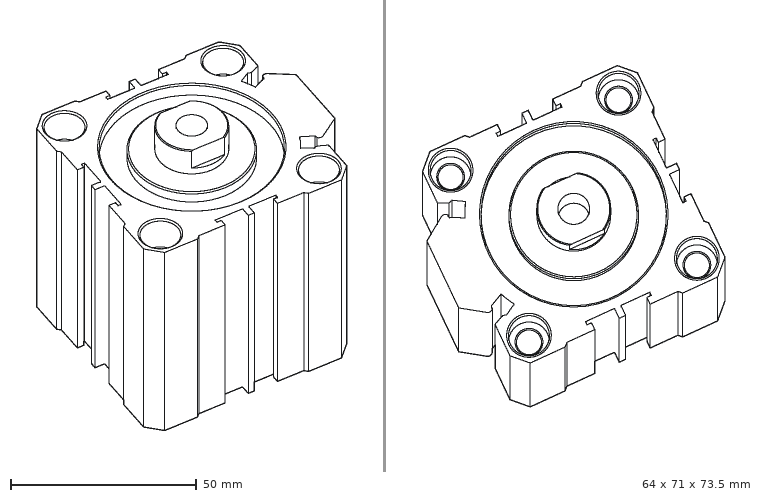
import cadquery as cq
import math

total_height = 73.5
rod_projection = 8.0
housing_height = total_height - rod_projection
housing_width = 64.0
half_width = housing_width / 2
housing_length = 71.0
rail_top_y = housing_length - half_width
corner_chamfer = 4.1

face_relief = 0.95
relief_half_width = 16.55
slot_depth = 4.0
slot_half_opening = 8.2
slot_half_floor = 9.55
undercut_height = 0.95
rib_half_width = 0.95
rib_root_radius = 0.2

hole_pitch = 50.0
hole_radius = 3.4
hole_chamfer = 0.4
counterbore_radius = 5.5
counterbore_depth = 10.0
counterbore_chamfer = 0.5

recess_radius = 25.0
recess_depth = 4.0
recess_chamfer = 0.45
collar_radius = 17.5
collar_drop = 0.6
collar_chamfer = 0.45

rod_radius = 10.0
rod_length = 36.75
rod_chamfer = 0.3
flat_half_width = 8.5
flat_height = 6.5
thread_hole_radius = 4.25
thread_hole_depth = 14.7

groove_floor_radius = 29.4
rail_corner = (10.15, rail_top_y)
rail_flank_end = (14.5, 32.6)
rail_nose_end = (14.2, 30.9)
rail_ledge = (13.4, 30.8)
groove_inner_x = 11.55
groove_outer_x = 15.5
groove_lip_low = (17.35, 28.1)
groove_lip_high = (17.05, 29.1)
groove_mouth_x = 18.4


def on_groove_floor(x):
    return (x, math.sqrt(groove_floor_radius**2 - x**2))


def housing_blank():
    """Extruded square with chamfered corners and the rail with its two grooves."""
    groove_mid_x = (groove_inner_x + groove_outer_x) / 2
    chamfer_start = half_width - corner_chamfer
    right_half = (
        cq.Workplane("XY")
        .moveTo(0, rail_top_y)
        .lineTo(*rail_corner)
        .lineTo(*rail_flank_end)
        .tangentArcPoint(rail_nose_end, relative=False)
        .lineTo(*rail_ledge)
        .lineTo(*on_groove_floor(groove_inner_x))
        .threePointArc(on_groove_floor(groove_mid_x), on_groove_floor(groove_outer_x))
        .lineTo(*groove_lip_low)
        .lineTo(*groove_lip_high)
        .lineTo(groove_mouth_x, half_width)
        .lineTo(chamfer_start, half_width)
        .lineTo(half_width, chamfer_start)
        .lineTo(half_width, -chamfer_start)
        .lineTo(chamfer_start, -half_width)
        .lineTo(0, -half_width)
    )
    return right_half.mirrorY().extrude(housing_height)


def slot_cutter():
    """Face relief and divided undercut slot for the -Y side."""
    relief_y = face_relief - half_width
    floor_y = slot_depth - half_width
    undercut_y = floor_y - undercut_height
    right_half = [
        (rib_half_width, relief_y),
        (rib_half_width, floor_y),
        (slot_half_floor, floor_y),
        (slot_half_floor, undercut_y),
        (slot_half_opening, undercut_y),
        (slot_half_opening, relief_y),
        (relief_half_width, relief_y),
        (relief_half_width + face_relief, -half_width),
    ]
    left_half = [(-x, y) for x, y in reversed(right_half)]
    cutter = cq.Workplane("XY").polyline(right_half + left_half).close().extrude(housing_height)
    for root_x in (-rib_half_width, rib_half_width):
        root = cq.selectors.NearestToPointSelector((root_x, floor_y, housing_height / 2))
        cutter = cutter.edges("|Z").edges(root).fillet(rib_root_radius)
    return cutter


def mounting_hole_cutter():
    """Through hole with a chamfered counterbore at the housing top."""
    floor_z = housing_height - counterbore_depth
    profile = [
        (0, 0),
        (hole_radius, 0),
        (hole_radius, floor_z - hole_chamfer),
        (hole_radius + hole_chamfer, floor_z),
        (counterbore_radius, floor_z),
        (counterbore_radius, housing_height - counterbore_chamfer),
        (counterbore_radius + counterbore_chamfer, housing_height),
        (0, housing_height),
    ]
    return cq.Workplane("XZ").polyline(profile).close().revolve(360, (0, 0, 0), (0, 1, 0))


def recess_cutter():
    """Round recess in the housing top that leaves the guide collar standing."""
    floor_z = housing_height - recess_depth
    collar_z = housing_height - collar_drop
    profile = [
        (0, collar_z),
        (collar_radius - collar_chamfer, collar_z),
        (collar_radius, collar_z - collar_chamfer),
        (collar_radius, floor_z),
        (recess_radius, floor_z),
        (recess_radius, housing_height - recess_chamfer),
        (recess_radius + recess_chamfer, housing_height),
        (0, housing_height),
    ]
    return cq.Workplane("XZ").polyline(profile).close().revolve(360, (0, 0, 0), (0, 1, 0))


def rod_cylinder():
    return (
        cq.Workplane("XY")
        .workplane(offset=total_height - rod_length)
        .circle(rod_radius)
        .extrude(rod_length)
    )


def make_housing():
    housing = housing_blank()
    for angle in (0, 90, -90):
        housing = housing.cut(slot_cutter().rotate((0, 0, 0), (0, 0, 1), angle))
    for x in (-hole_pitch / 2, hole_pitch / 2):
        for y in (-hole_pitch / 2, hole_pitch / 2):
            housing = housing.cut(mounting_hole_cutter().translate((x, y, 0)))
    housing = housing.cut(recess_cutter())
    return housing.cut(rod_cylinder())


def make_rod():
    """Piston rod with two wrench flats and a blind hole in its end."""
    rod = rod_cylinder().faces(">Z").chamfer(rod_chamfer)
    flat_cut_width = rod_radius - flat_half_width
    for side in (-1, 1):
        flat_cutter = cq.Workplane("XY").box(flat_cut_width, 2 * rod_radius, flat_height)
        flat_x = side * (flat_half_width + flat_cut_width / 2)
        rod = rod.cut(flat_cutter.translate((flat_x, 0, total_height - flat_height / 2)))
    return rod.faces(">Z").workplane().hole(2 * thread_hole_radius, thread_hole_depth)


housing = make_housing()
piston_rod = make_rod()

result = cq.Compound.makeCompound([housing.val(), piston_rod.val()])